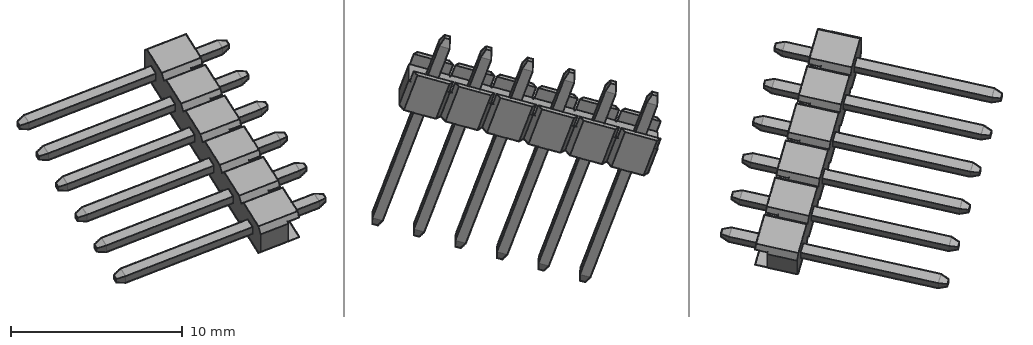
import cadquery as cq

pin_count = 6
housing_length = 15.24
housing_depth = 2.55
housing_height = 2.5
pitch = housing_length / pin_count

bevel_width = 0.29
bevel_height = 0.43

lip_thickness = 0.34
groove_depth = 0.75
groove_height = housing_height - 2 * lip_thickness

pin_length = 13.6
pin_width = 0.64
pin_rear_projection = 2.29
pin_offset = -0.1
tip_length = 0.52
tip_width = 0.34

housing_rear = housing_depth / 2
pin_rear = housing_rear + pin_rear_projection
pin_front = pin_rear - pin_length


def cell_centre(index):
    """X position of the centre of one housing cell."""
    return (index - (pin_count - 1) / 2) * pitch


def make_housing():
    """Row of bevelled cells, extruded front to back in one piece."""
    half_height = housing_height / 2
    half_pitch = pitch / 2
    half_flat = half_pitch - bevel_width
    shoulder = half_height - bevel_height

    top_edge = [(-housing_length / 2, shoulder)]
    for index in range(pin_count):
        centre = cell_centre(index)
        top_edge.append((centre - half_flat, half_height))
        top_edge.append((centre + half_flat, half_height))
        top_edge.append((centre + half_pitch, shoulder))
    bottom_edge = [(x, -z) for x, z in reversed(top_edge)]

    return (
        cq.Workplane("XZ", origin=(0, housing_rear, 0))
        .polyline(top_edge + bottom_edge)
        .close()
        .extrude(housing_depth)
    )


def make_groove():
    """Full-length rectangular channel in the rear face."""
    groove_centre = housing_rear - groove_depth / 2
    return (
        cq.Workplane("XY", origin=(0, groove_centre, 0))
        .box(housing_length, groove_depth, groove_height)
    )


def make_pin(x):
    """Square pin along Y, tapered to a blunt tip at both ends."""
    shaft_rear = pin_rear - tip_length
    shaft_front = pin_front + tip_length
    shaft = (
        cq.Workplane("XZ", origin=(x, shaft_rear, 0))
        .rect(pin_width, pin_width)
        .extrude(shaft_rear - shaft_front)
    )
    front_tip = (
        cq.Workplane("XZ", origin=(x, shaft_front, 0))
        .rect(pin_width, pin_width)
        .workplane(offset=tip_length)
        .rect(tip_width, tip_width)
        .loft(ruled=True)
    )
    rear_tip = (
        cq.Workplane("XZ", origin=(x, pin_rear, 0))
        .rect(tip_width, tip_width)
        .workplane(offset=tip_length)
        .rect(pin_width, pin_width)
        .loft(ruled=True)
    )
    return shaft.union(front_tip).union(rear_tip)


result = make_housing().cut(make_groove())
for pin_index in range(pin_count):
    result = result.union(make_pin(cell_centre(pin_index) + pin_offset))